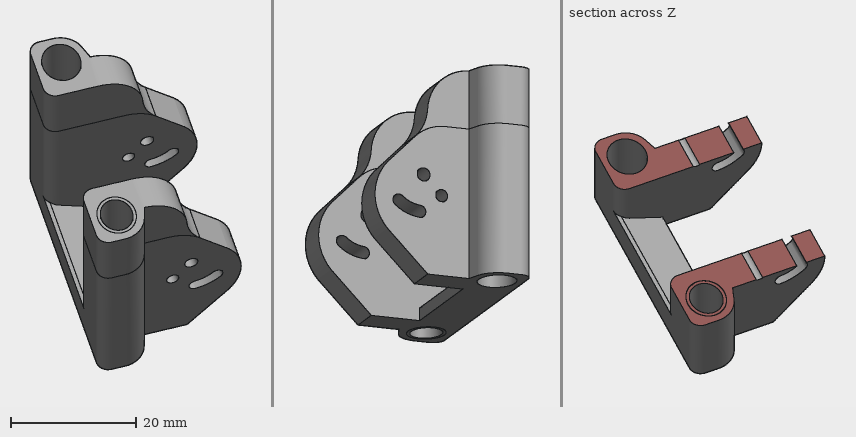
import cadquery as cq
import math

total_width = 41.2
total_depth = 25.05
total_height = 34.6
seam_height = 24.87

post_outer = total_width / 2
post_inner = 9.55
post_front_round = 1.98
post_back_round = 4.15
post_back_round_y = 4.3
plate_outer = post_inner + 5.95
plate_root = 8.98

plate_corner = 16.0
nose_height = seam_height / 2
nose_edge = 22.9
shoulder_round = 7.35
cap_round = 7.45

bore_x = 15.7
bore_y = 4.25
bore_width = 7.2
bore_depth = 6.2
sleeve_bore_width = 6.1
sleeve_bore_depth = 5.15

pivot_y = 16.7
pivot_z = 16.5
pivot_diameter = 2.2
pin_y = 13.65
pin_z = 13.3
pin_diameter = 2.0
slot_center_y = 16.92
slot_radius = 6.2
slot_width = 2.0
slot_start = -49.5
slot_end = -86.0

bar_height = 5.4
bar_depth = 7.75
bar_ledge = 0.7
bar_slope = 25.0
bar_half_length = post_inner + post_front_round


def on_circle(center, radius, degrees):
    """Point on a circle, at an angle from the first axis."""
    angle = math.radians(degrees)
    return (center[0] + radius * math.cos(angle), center[1] + radius * math.sin(angle))


def mirrored(body):
    """The same body on the -X side."""
    return body.mirror("YZ")


nose_rise = nose_edge - plate_corner
nose_bottom = (nose_edge, nose_rise)
nose_tip = (total_depth, nose_height)
nose_top = (nose_edge, seam_height - nose_rise)

shoulder_start = (plate_corner - shoulder_round * math.tan(math.pi / 8), seam_height)
shoulder_center = (shoulder_start[0], seam_height - shoulder_round)
shoulder_middle = on_circle(shoulder_center, shoulder_round, 67.5)
shoulder_end = on_circle(shoulder_center, shoulder_round, 45)

hollow_center = on_circle(shoulder_end, shoulder_round, 45)

cap_center_z = total_height - cap_round
cap_center_drop = hollow_center[1] - cap_center_z
cap_center_reach = math.sqrt((cap_round + shoulder_round) ** 2 - cap_center_drop**2)
cap_center = (hollow_center[0] - cap_center_reach, cap_center_z)
joint_angle = math.degrees(math.atan2(cap_center_drop, cap_center_reach))
cap_top_end = (cap_center[0], total_height)
cap_middle = on_circle(cap_center, cap_round, 45)
cap_joint = on_circle(cap_center, cap_round, joint_angle)
hollow_middle = on_circle(hollow_center, shoulder_round, (joint_angle + 180 + 225) / 2)


def plan_column():
    """Plan outline of the +X post with its side plate, as a column of the full height."""
    round_center = (post_outer - post_back_round, post_back_round_y)
    root_dx = plate_outer - round_center[0]
    root_dy = plate_root - round_center[1]
    root_angle = math.degrees(math.atan2(root_dy, root_dx))
    turn = math.degrees(math.acos(post_back_round / math.hypot(root_dx, root_dy)))
    tangent_angle = root_angle - turn
    return (
        cq.Workplane("XY")
        .moveTo(post_inner, 0)
        .lineTo(post_outer, 0)
        .lineTo(post_outer, post_back_round_y)
        .threePointArc(
            on_circle(round_center, post_back_round, tangent_angle / 2),
            on_circle(round_center, post_back_round, tangent_angle),
        )
        .lineTo(plate_outer, plate_root)
        .lineTo(plate_outer, total_depth)
        .lineTo(post_inner, total_depth)
        .close()
        .extrude(total_height)
        .edges("|Z and <Y")
        .fillet(post_front_round)
    )


def frame_side():
    """Side outline of the frame, extruded across the +X half."""
    return (
        cq.Workplane("YZ")
        .moveTo(0, 0)
        .lineTo(plate_corner, 0)
        .lineTo(*nose_bottom)
        .threePointArc(nose_tip, nose_top)
        .lineTo(*shoulder_end)
        .threePointArc(shoulder_middle, shoulder_start)
        .lineTo(0, seam_height)
        .close()
        .extrude(post_outer)
    )


def cap_side():
    """Side outline of a cap, extruded across the +X half."""
    return (
        cq.Workplane("YZ")
        .moveTo(0, seam_height)
        .lineTo(*shoulder_start)
        .threePointArc(shoulder_middle, shoulder_end)
        .threePointArc(hollow_middle, cap_joint)
        .threePointArc(cap_middle, cap_top_end)
        .lineTo(0, total_height)
        .close()
        .extrude(post_outer)
    )


def elliptical_rod(width, depth):
    """Full-height rod along the axis of the +X bore."""
    return (
        cq.Workplane("XY")
        .center(bore_x, bore_y)
        .ellipse(width / 2, depth / 2)
        .extrude(total_height)
    )


def round_cutter(y, z, diameter):
    """Round rod along X, across the +X half."""
    return cq.Workplane("YZ").center(y, z).circle(diameter / 2).extrude(post_outer)


def plate_holes():
    """Cutters for the pivot hole, the pin hole and the curved slot of the +X side plate."""
    center = (slot_center_y, pivot_z)
    inner_radius = slot_radius - slot_width / 2
    outer_radius = slot_radius + slot_width / 2
    slot_middle = (slot_start + slot_end) / 2
    start_tip = on_circle(on_circle(center, slot_radius, slot_start), slot_width / 2, slot_start + 90)
    end_tip = on_circle(on_circle(center, slot_radius, slot_end), slot_width / 2, slot_end - 90)
    slot = (
        cq.Workplane("YZ")
        .moveTo(*on_circle(center, inner_radius, slot_start))
        .threePointArc(start_tip, on_circle(center, outer_radius, slot_start))
        .threePointArc(
            on_circle(center, outer_radius, slot_middle),
            on_circle(center, outer_radius, slot_end),
        )
        .threePointArc(end_tip, on_circle(center, inner_radius, slot_end))
        .threePointArc(
            on_circle(center, inner_radius, slot_middle),
            on_circle(center, inner_radius, slot_start),
        )
        .close()
        .extrude(post_outer)
    )
    pivot_hole = round_cutter(pivot_y, pivot_z, pivot_diameter)
    pin_hole = round_cutter(pin_y, pin_z, pin_diameter)
    return slot.union(pivot_hole).union(pin_hole)


def cross_bar():
    """Bar joining the feet of the posts, its top sloping down behind a narrow ledge."""
    back_height = bar_height - (bar_depth - bar_ledge) * math.tan(math.radians(bar_slope))
    return (
        cq.Workplane("YZ")
        .polyline(
            [
                (0, 0),
                (bar_depth, 0),
                (bar_depth, back_height),
                (bar_ledge, bar_height),
                (0, bar_height),
            ]
        )
        .close()
        .extrude(bar_half_length, both=True)
    )


def make_frame():
    """U-shaped frame: two posts with side plates, joined by the cross bar."""
    half = plan_column().intersect(frame_side())
    half = half.cut(elliptical_rod(bore_width, bore_depth)).cut(plate_holes())
    return cross_bar().union(half).union(mirrored(half))


def make_cap():
    """Cap on the +X post, with the bore running on through it."""
    return plan_column().intersect(cap_side()).cut(elliptical_rod(bore_width, bore_depth))


def make_sleeve():
    """Sleeve lining the +X bore over its full height."""
    outside = elliptical_rod(bore_width, bore_depth)
    return outside.cut(elliptical_rod(sleeve_bore_width, sleeve_bore_depth))


frame = make_frame()
right_cap = make_cap()
caps = [right_cap, mirrored(right_cap)]
sleeve = make_sleeve()

result = cq.Compound.makeCompound([frame.val(), *[cap.val() for cap in caps], sleeve.val()])